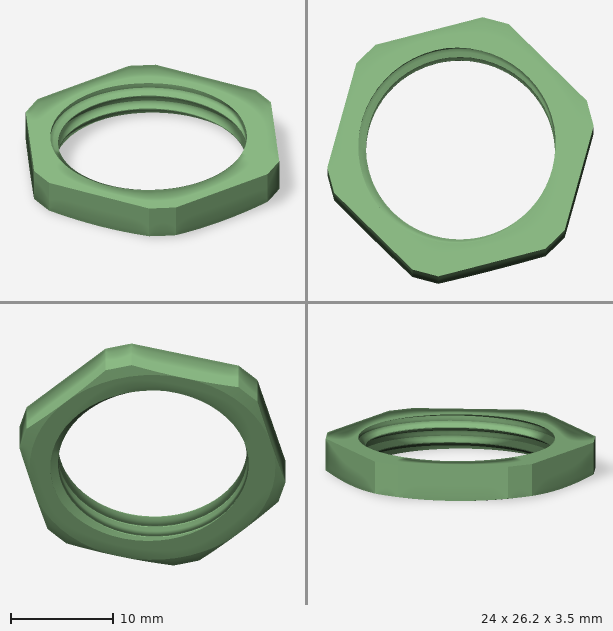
import cadquery as cq
import math

across_flats = 24.0
across_corners = 26.2
thickness = 3.5
chamfer_angle = 15.0
blank_radius = 15.73
hexagon_half_step = 30.0

minor_radius = 9.23
major_radius = 9.99
pitch = 1.5
root_flat = 0.52
flank_angle = 30.0
groove_top_angle = -124.0
bore_seam_angle = 180.0
bore_overlap = 0.03
extra_turns = 0.5


def hexagon_prism(flats, turn):
    """Hexagonal prism with one flat facing the direction given by turn."""
    circumscribed_diameter = flats / math.cos(math.radians(hexagon_half_step))
    return (
        cq.Workplane("XY")
        .transformed(rotate=(0, 0, turn + hexagon_half_step))
        .polygon(6, circumscribed_diameter)
        .extrude(thickness)
    )


def chamfer_envelope():
    """Turned blank whose lower edge cone trims the hexagon corners."""
    bottom_radius = across_flats / 2
    cone_height = (blank_radius - bottom_radius) * math.tan(math.radians(chamfer_angle))
    return (
        cq.Workplane("XZ")
        .polyline([
            (0, 0),
            (bottom_radius, 0),
            (blank_radius, cone_height),
            (blank_radius, thickness),
            (0, thickness),
        ])
        .close()
        .revolve(360, (0, 0, 0), (0, 1, 0))
    )


def thread_cutter():
    """Helical groove that runs past both faces of the nut."""
    turns = math.ceil(thickness / pitch) + 2 * extra_turns
    start_z = thickness - (turns - extra_turns) * pitch
    inner_radius = minor_radius - bore_overlap
    half_root = root_flat / 2
    half_mouth = half_root + (major_radius - inner_radius) * math.tan(math.radians(flank_angle))
    helix = cq.Workplane(cq.Wire.makeHelix(pitch, turns * pitch, minor_radius))
    groove = (
        cq.Workplane("XZ")
        .polyline([
            (inner_radius, -half_mouth),
            (major_radius, -half_root),
            (major_radius, half_root),
            (inner_radius, half_mouth),
        ])
        .close()
        .sweep(helix, isFrenet=True)
    )
    start_angle = groove_top_angle - 360 * (turns - extra_turns)
    return groove.rotate((0, 0, 0), (0, 0, 1), start_angle).translate((0, 0, start_z))


body = hexagon_prism(across_flats, 0).intersect(hexagon_prism(across_corners, 90))
body = body.intersect(chamfer_envelope())
bore = cq.Workplane("XY").circle(minor_radius).extrude(thickness).rotate((0, 0, 0), (0, 0, 1), bore_seam_angle)
result = body.cut(bore).cut(thread_cutter())